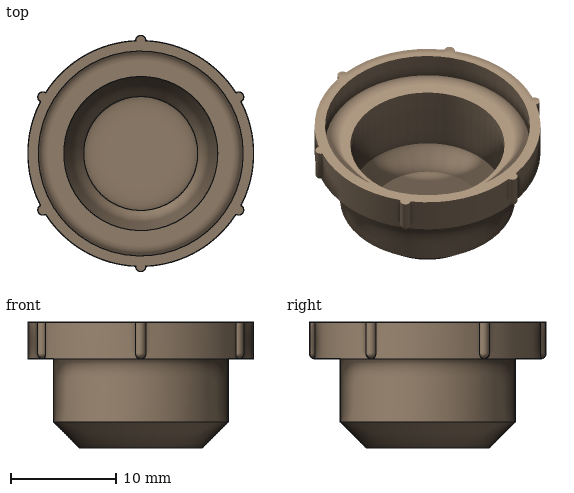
import cadquery as cq
import math

total_height = 12.0
flange_diameter = 21.5
flange_height = 3.5
body_diameter = 16.67
taper = 2.5

recess_diameter = 19.5
recess_depth = 2.5
bore_diameter = 14.67

overall_diameter = 22.5
rib_count = 6
first_rib_angle = 30.0

flange_radius = flange_diameter / 2
body_radius = body_diameter / 2
foot_radius = body_radius - taper
recess_radius = recess_diameter / 2
bore_radius = bore_diameter / 2
flange_bottom = total_height - flange_height
recess_floor = total_height - recess_depth
rib_radius = overall_diameter / 2 - flange_radius

wall = body_radius - bore_radius
floor_radius = foot_radius + wall - wall * math.sqrt(2)
bore_taper_top = wall + bore_radius - floor_radius


def make_cup():
    """Revolve the half section of the hollow cup about the Z axis."""
    return (
        cq.Workplane("XZ")
        .moveTo(0, 0)
        .lineTo(foot_radius, 0)
        .lineTo(body_radius, taper)
        .lineTo(body_radius, flange_bottom)
        .lineTo(flange_radius, flange_bottom)
        .lineTo(flange_radius, total_height)
        .lineTo(recess_radius, total_height)
        .lineTo(recess_radius, recess_floor)
        .lineTo(bore_radius, recess_floor)
        .lineTo(bore_radius, bore_taper_top)
        .lineTo(floor_radius, wall)
        .lineTo(0, wall)
        .close()
        .revolve(360, (0, 0, 0), (0, 1, 0))
    )


def make_rib(angle):
    """Make a round rib with a ball-shaped lower end, centred on the flange surface."""
    ball_level = flange_bottom + rib_radius
    shaft = (
        cq.Workplane("XY", origin=(flange_radius, 0, ball_level))
        .circle(rib_radius)
        .extrude(total_height - ball_level)
    )
    ball = cq.Workplane("XY", origin=(flange_radius, 0, ball_level)).sphere(rib_radius)
    return shaft.union(ball).rotate((0, 0, 0), (0, 0, 1), angle)


result = make_cup()
for index in range(rib_count):
    result = result.union(make_rib(first_rib_angle + index * 360 / rib_count))